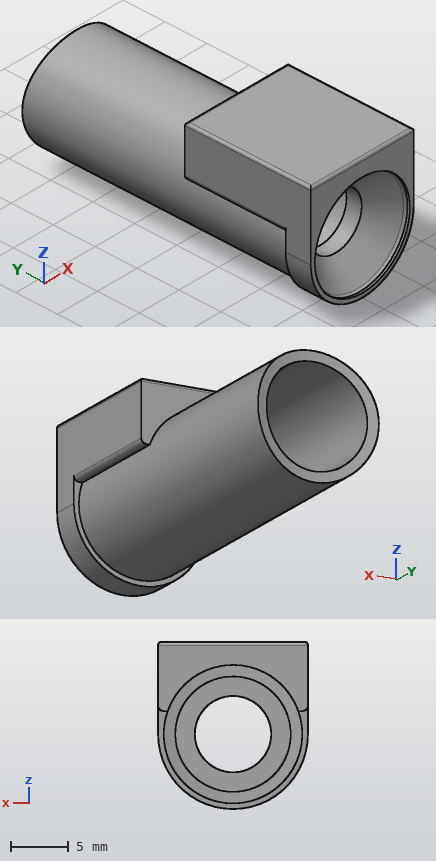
import cadquery as cq
import math


housing_radius = 6.5
housing_top = 8.0
housing_length = 15.0
collar_length = 3.0
skirt_bottom = 2.0
skirt_fillet = 0.5
top_fillet = 0.3

tube_radius = 6.0
tube_trough = 34.0
saddle_radius = 21.0
saddle_axis = tube_trough + saddle_radius

funnel_depth = 0.5
funnel_slope = math.radians(45)
funnel_fillet = 0.5
tube_front = funnel_depth - funnel_fillet * math.tan(funnel_slope / 2)
throat_radius = 3.3
throat_start = funnel_depth + (tube_radius - throat_radius) / math.tan(funnel_slope)
throat_end = 5.0
bore_radius = 5.0


def rod(radius, start, end):
    """Cylinder along the tube axis from Y = start to Y = end."""
    return cq.Workplane("XZ", origin=(0, start, 0)).circle(radius).extrude(start - end)


def make_housing():
    collar = (
        cq.Workplane("XZ")
        .moveTo(-housing_radius, housing_top)
        .lineTo(-housing_radius, 0)
        .threePointArc((0, -housing_radius), (housing_radius, 0))
        .lineTo(housing_radius, housing_top)
        .close()
        .extrude(-collar_length)
    )
    block = (
        cq.Workplane("XY", origin=(0, housing_length / 2, skirt_bottom))
        .rect(2 * housing_radius, housing_length)
        .extrude(housing_top - skirt_bottom)
        .edges("|Y and <Z")
        .fillet(skirt_fillet)
    )
    body = collar.union(block).faces(">Z").edges().fillet(top_fillet)
    return body.cut(rod(tube_radius, 0, housing_length))


def fillet_point(angle):
    """Point (radius, Y) on the funnel's rounding, at this angle from its outer end."""
    return (
        tube_radius - funnel_fillet * (1 - math.cos(angle)),
        tube_front + funnel_fillet * math.sin(angle),
    )


def tube_body():
    """Revolved wall of the tube, long enough for the saddle cut."""
    return (
        cq.Workplane("XY")
        .moveTo(tube_radius, tube_front)
        .threePointArc(fillet_point(funnel_slope / 2), fillet_point(funnel_slope))
        .lineTo(throat_radius, throat_start)
        .lineTo(throat_radius, throat_end)
        .lineTo(bore_radius, throat_end)
        .lineTo(bore_radius, saddle_axis)
        .lineTo(tube_radius, saddle_axis)
        .close()
        .revolve(360, (0, 0, 0), (0, 1, 0))
    )


def make_tube():
    saddle = (
        cq.Workplane("XY", origin=(0, saddle_axis, -tube_radius))
        .circle(saddle_radius)
        .extrude(2 * tube_radius)
    )
    return tube_body().cut(saddle)


housing = make_housing()
tube = make_tube()
result = cq.Compound.makeCompound([housing.val(), tube.val()])